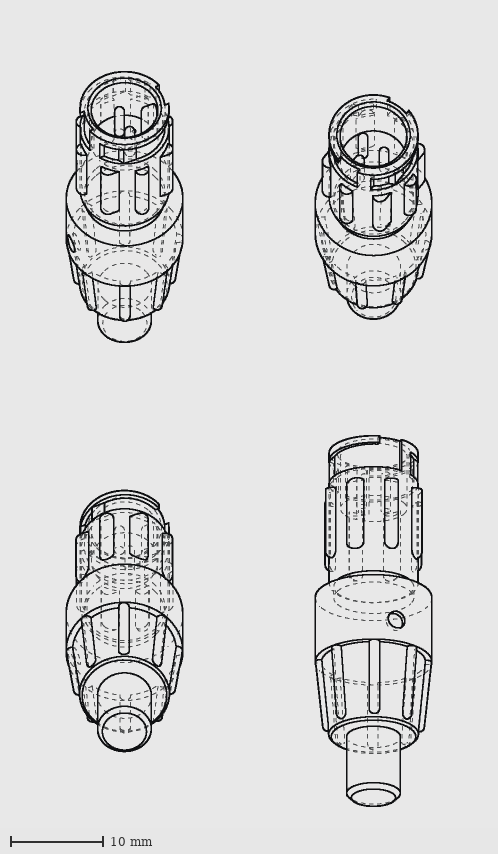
import cadquery as cq
import math

total_height = 40.65
collar_bottom = 16.0
collar_top = 23.6
neck_top = 24.9
grip_bottom = 7.2
cable_chamfer = 0.53

cable_radius = 2.93
collar_radius = 6.35
neck_radius = 4.35
barrel_radius = 4.85
barrel_round = barrel_radius - neck_radius
grip_bottom_radius = 4.88
grip_top_radius = 5.65
grip_edge_chamfer = 0.3

socket_radius = 3.6
socket_depth = 6.5
socket_chamfer = 0.35
socket_floor = total_height - socket_depth

pin_radius = 0.53
pin_offset = 1.42
pin_tip = 38.65
key_radius = 0.5
key_inner_y = 2.5
key_top = 39.18
dot_radius = 0.2
dot_x, dot_y = -0.98, 1.5

groove_floor_radius = 4.4
groove_bottom = 37.0
entry_half_width = 1.3
groove_end_x = 2.65
lip_thickness_start = 0.77
lip_thickness_end = 1.05
bump_face_x = groove_floor_radius
bump_start_y = 0.5
bump_crest_y = 1.95
bump_end_x, bump_end_y = 3.75, 2.28

barrel_rib_radius = 0.77
barrel_rib_bottom = 28.3
barrel_rib_top = 35.48
barrel_rib_flank = 1.2

grip_rib_count = 8
grip_rib_radius = 0.55
grip_rib_bottom = 8.4
grip_rib_overrun = 0.12
grip_rib_bottom_offset = 4.95
grip_rib_top_offset = 5.75

side_hole_radius = 0.98
side_hole_depth = 0.7
side_hole_height = 18.55


def cylinder(x, y, bottom, top, radius):
    return cq.Workplane("XY", origin=(x, y, bottom)).circle(radius).extrude(top - bottom)


def sphere(x, y, z, radius):
    return cq.Workplane("XY", origin=(x, y, z)).sphere(radius)


def block(x_range, y_range, z_range):
    """Axis-aligned box between pairs of limits."""
    (x0, x1), (y0, y1), (z0, z1) = x_range, y_range, z_range
    return cq.Workplane("XY", origin=(x0, y0, z0)).box(x1 - x0, y1 - y0, z1 - z0, centered=False)


def turned_body():
    """Cable, tapered grip, collar, neck and barrel as one revolved profile."""
    round_middle = barrel_round * math.sqrt(0.5)
    return (
        cq.Workplane("XZ")
        .lineTo(cable_radius - cable_chamfer, 0)
        .lineTo(cable_radius, cable_chamfer)
        .lineTo(cable_radius, grip_bottom)
        .lineTo(grip_bottom_radius - grip_edge_chamfer, grip_bottom)
        .lineTo(grip_bottom_radius, grip_bottom + grip_edge_chamfer)
        .lineTo(grip_top_radius, collar_bottom)
        .lineTo(collar_radius, collar_bottom)
        .lineTo(collar_radius, collar_top)
        .lineTo(neck_radius, collar_top)
        .lineTo(neck_radius, neck_top)
        .threePointArc(
            (neck_radius + round_middle, neck_top + barrel_round - round_middle),
            (barrel_radius, neck_top + barrel_round),
        )
        .lineTo(barrel_radius, total_height)
        .lineTo(0, total_height)
        .close()
        .revolve(360, (0, 0, 0), (0, 1, 0))
    )


def socket():
    return (
        cq.Workplane("XZ")
        .moveTo(0, socket_floor)
        .lineTo(socket_radius, socket_floor)
        .lineTo(socket_radius, total_height - socket_chamfer)
        .lineTo(socket_radius + socket_chamfer, total_height)
        .lineTo(0, total_height)
        .close()
        .revolve(360, (0, 0, 0), (0, 1, 0))
    )


def bayonet_groove():
    """Cutter for the groove entered at -Y and running past -X under a sloping lip."""
    reach = collar_radius
    run = (
        cq.Workplane("YZ", origin=(-reach, 0, 0))
        .moveTo(-barrel_radius, groove_bottom)
        .lineTo(barrel_radius, groove_bottom)
        .lineTo(barrel_radius, total_height - lip_thickness_end)
        .lineTo(-barrel_radius, total_height - lip_thickness_start)
        .close()
        .extrude(reach + entry_half_width)
    )
    beyond_end = block((-groove_end_x, reach), (0, reach), (groove_bottom, total_height))
    entry = block(
        (-entry_half_width, entry_half_width), (-reach, 0), (groove_bottom, total_height)
    )
    core = cylinder(0, 0, groove_bottom, total_height, groove_floor_radius)
    locking_bump = (
        cq.Workplane("XY", origin=(0, 0, groove_bottom))
        .moveTo(-bump_end_x, bump_start_y)
        .lineTo(-bump_face_x, bump_start_y)
        .lineTo(-bump_face_x, bump_crest_y)
        .lineTo(-bump_end_x, bump_end_y)
        .close()
        .extrude(total_height - groove_bottom)
    )
    return run.cut(beyond_end).union(entry).cut(core).cut(locking_bump)


def straight_rib(x, y):
    """Upright round rib with a domed lower end."""
    rib = cylinder(x, y, barrel_rib_bottom, barrel_rib_top, barrel_rib_radius)
    return rib.union(sphere(x, y, barrel_rib_bottom, barrel_rib_radius))


def diagonal_rib():
    """Rib midway between +X and +Y, widened by a straight flank along Y."""
    offset = barrel_radius * math.sqrt(0.5)
    flank = block(
        (offset - barrel_rib_radius, offset + barrel_rib_radius),
        (offset - barrel_rib_flank, offset),
        (barrel_rib_bottom, barrel_rib_top),
    )
    flank_end = (
        cq.Workplane("XZ", origin=(offset, offset, barrel_rib_bottom))
        .circle(barrel_rib_radius)
        .extrude(barrel_rib_flank)
    )
    return straight_rib(offset, offset).union(flank).union(flank_end)


def grip_rib(angle):
    """Round rib following the taper of the grip, with a domed lower end."""
    low = cq.Vector(grip_rib_bottom_offset, 0, grip_rib_bottom)
    axis = cq.Vector(grip_rib_top_offset, 0, collar_bottom) - low
    length = axis.Length + grip_rib_overrun
    rod = cq.Workplane(cq.Plane(low, (0, 1, 0), axis)).circle(grip_rib_radius).extrude(length)
    rib = rod.union(sphere(low.x, low.y, low.z, grip_rib_radius))
    return rib.rotate((0, 0, 0), (0, 0, 1), angle)


def contact_pin(x):
    shoulder = pin_tip - pin_radius
    pin = cylinder(x, 0, socket_floor, shoulder, pin_radius)
    return pin.union(sphere(x, 0, shoulder, pin_radius))


def key():
    """Rib on the +Y socket wall with a round top and a round inner edge."""
    axis_height = key_top - key_radius
    wall_y = (socket_radius + groove_floor_radius) / 2
    web = block((-key_radius, key_radius), (key_inner_y, wall_y), (socket_floor, axis_height))
    crown = (
        cq.Workplane("XZ", origin=(0, wall_y, axis_height))
        .circle(key_radius)
        .extrude(wall_y - key_inner_y)
    )
    nose = cylinder(0, key_inner_y, socket_floor, axis_height, key_radius)
    corner = sphere(0, key_inner_y, axis_height, key_radius)
    return web.union(crown).union(nose).union(corner)


def side_hole():
    return (
        cq.Workplane("XZ", origin=(0, side_hole_depth - collar_radius, side_hole_height))
        .circle(side_hole_radius)
        .extrude(collar_radius)
    )


result = turned_body()

for angle in (0, 90, 180, 270):
    result = result.union(straight_rib(barrel_radius, 0).rotate((0, 0, 0), (0, 0, 1), angle))

right_pair = diagonal_rib().union(diagonal_rib().mirror("XZ"))
result = result.union(right_pair).union(right_pair.mirror("YZ"))

for index in range(grip_rib_count):
    result = result.union(grip_rib((index + 0.5) * 360 / grip_rib_count))

result = result.cut(socket()).cut(side_hole())

groove = bayonet_groove()
for angle in (0, 180):
    result = result.cut(groove.rotate((0, 0, 0), (0, 0, 1), angle))

for x in (-pin_offset, pin_offset):
    result = result.union(contact_pin(x))
result = result.union(key()).union(sphere(dot_x, dot_y, socket_floor, dot_radius))